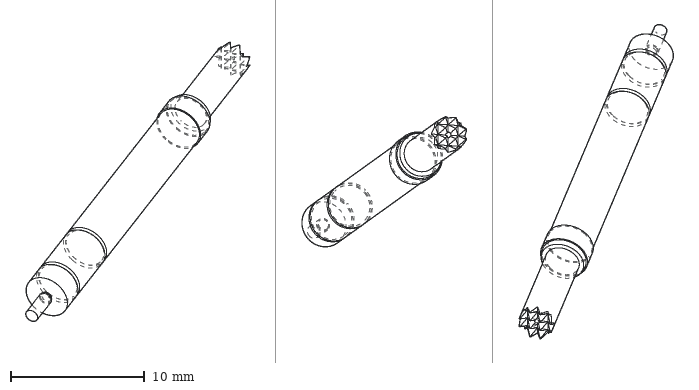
import cadquery as cq

total_length = 34.5
tip_y = total_length / 2
tail_y = -total_length / 2

plunger_radius = 1.3
body_radius = 1.72
collar_radius = 1.83
pin_diameter = 1.0
neck_radius = 0.4

plunger_length = 7.5
cap_length = 0.45
collar_length = 1.6
body_length = 22.42
neck_length = 0.2
cap_end_radius = 1.65

cap_y = tip_y - plunger_length
collar_y = cap_y - cap_length
body_y = collar_y - collar_length
body_end_y = body_y - body_length
pin_y = body_end_y - neck_length

groove_width = 0.3
groove_depth = groove_width / 2
groove_offsets = (1.93, 6.52)

tooth_pitch = 0.8
vee_width = 0.75
vee_depth = 0.65
vee_steps = (-1, 0, 1)
center_spike_radius = 0.25


def cylinder(radius, y_low, y_high):
    """Solid cylinder on the Y axis between two stations."""
    return cq.Workplane("XZ", origin=(0, y_high, 0)).circle(radius).extrude(y_high - y_low)


def tapered_cap():
    """Cone between the plunger and the collar, narrowing slightly toward the teeth."""
    profile = (
        cq.Workplane("XY")
        .moveTo(0, collar_y)
        .lineTo(body_radius, collar_y)
        .lineTo(cap_end_radius, cap_y)
        .lineTo(0, cap_y)
        .close()
    )
    return profile.revolve(360, (0, 0, 0), (0, 1, 0))


def stepped_body():
    """Plunger, cap, collar, barrel, neck and pin joined end to end."""
    return (
        cylinder(plunger_radius, cap_y, tip_y)
        .union(tapered_cap())
        .union(cylinder(collar_radius, body_y, collar_y))
        .union(cylinder(body_radius, body_end_y, body_y))
        .union(cylinder(neck_radius, pin_y, body_end_y))
        .union(cylinder(pin_diameter / 2, tail_y, pin_y))
    )


def ring_groove(center_y):
    """Triangular ring to cut from the barrel, leaving a V groove."""
    half_width = groove_width / 2
    profile = (
        cq.Workplane("XY")
        .moveTo(body_radius, center_y - half_width)
        .lineTo(body_radius - groove_depth, center_y)
        .lineTo(body_radius, center_y + half_width)
        .close()
    )
    return profile.revolve(360, (0, 0, 0), (0, 1, 0))


def vee_groove(position):
    """V prism along Z whose valley lies at the given X."""
    return (
        cq.Workplane("XY")
        .moveTo(position - vee_width / 2, tip_y)
        .lineTo(position, tip_y - vee_depth)
        .lineTo(position + vee_width / 2, tip_y)
        .close()
        .extrude(plunger_radius, both=True)
    )


def center_spike():
    """Cone on the axis, as tall as the teeth."""
    profile = cq.Workplane("XY").moveTo(0, tip_y).lineTo(center_spike_radius, tip_y - vee_depth)
    return profile.lineTo(0, tip_y - vee_depth).close().revolve(360, (0, 0, 0), (0, 1, 0))


result = stepped_body()

for offset in groove_offsets:
    result = result.cut(ring_groove(body_end_y + offset))

for step in vee_steps:
    groove = vee_groove(step * tooth_pitch)
    result = result.cut(groove)
    result = result.cut(groove.rotate((0, 0, 0), (0, 1, 0), 90))

result = result.union(center_spike())